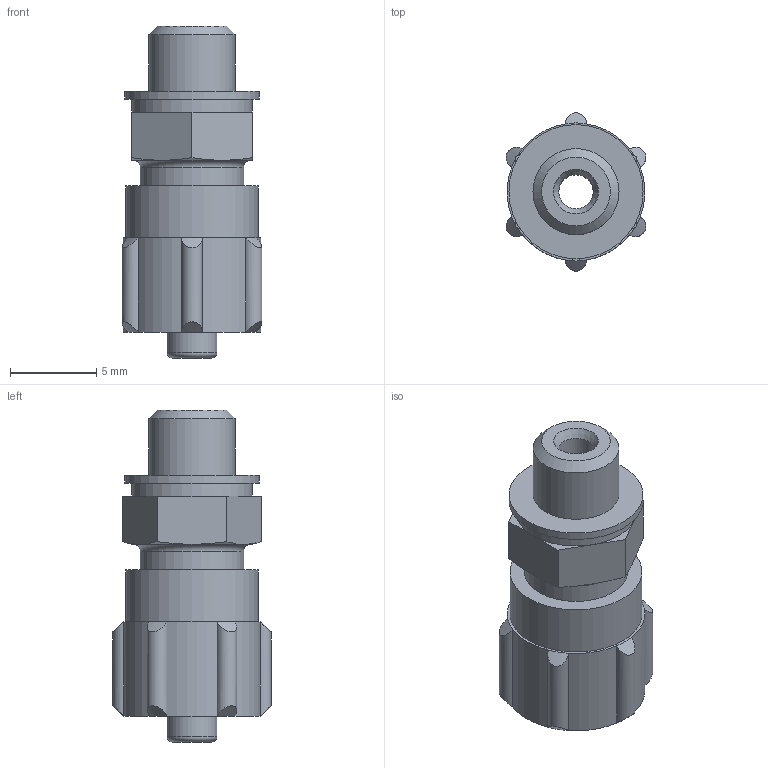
import cadquery as cq
import math

PIN_TIP_Z = 0.0
NUT_BOTTOM_Z = 1.5
NUT_TOP_Z = 7.0
SLEEVE_TOP_Z = 10.0
HEX_BOTTOM_Z = 11.5
HEX_TOP_Z = 14.3
FLANGE_BOTTOM_Z = 15.05
FLANGE_TOP_Z = 15.5
SPIGOT_TOP_Z = 19.3

PIN_DIAMETER = 2.9
NUT_DIAMETER = 8.0
SLEEVE_DIAMETER = 7.7
NECK_DIAMETER = 6.0
COLLAR_DIAMETER = 7.0
FLANGE_DIAMETER = 7.8
SPIGOT_DIAMETER = 5.0

BORE_DIAMETER = 2.0
BORE_MOUTH_DIAMETER = 2.6
BORE_MOUTH_HALF_ANGLE = 30.0
PIN_TIP_FILLET = 0.3
SPIGOT_CHAMFER = 0.5
NECK_FILLET = 0.4

HEX_SIDES = 6
HEX_ACROSS_FLATS = 7.0
HEX_CHAMFER_ANGLE = 15.0

RIB_COUNT = 6
RIB_RADIUS = 0.6


def cylinder(diameter, bottom_z, top_z):
    """Solid cylinder on the common axis between two heights."""
    return (
        cq.Workplane("XY")
        .workplane(offset=bottom_z)
        .circle(diameter / 2)
        .extrude(top_z - bottom_z)
    )


def cone(bottom_diameter, bottom_z, top_diameter, top_z):
    """Solid truncated cone on the common axis between two heights."""
    return cq.Workplane("XY").add(
        cq.Solid.makeCone(
            bottom_diameter / 2,
            top_diameter / 2,
            top_z - bottom_z,
            cq.Vector(0, 0, bottom_z),
        )
    )


def make_pin():
    """Pin below the nut with a rounded tip."""
    return cylinder(PIN_DIAMETER, PIN_TIP_Z, NUT_BOTTOM_Z).faces("<Z").edges().fillet(PIN_TIP_FILLET)


def make_nut():
    """Round nut with half-round ribs bevelled at 45 degrees down to the nut surface."""
    ribs = (
        cq.Workplane("XY")
        .workplane(offset=NUT_BOTTOM_Z)
        .polarArray(NUT_DIAMETER / 2, 90, 360, RIB_COUNT)
        .circle(RIB_RADIUS)
        .extrude(NUT_TOP_Z - NUT_BOTTOM_Z)
    )
    rib_tip_diameter = NUT_DIAMETER + 2 * RIB_RADIUS
    bevel_envelope = (
        cylinder(rib_tip_diameter, NUT_BOTTOM_Z, NUT_TOP_Z)
        .faces("<Z or >Z")
        .edges()
        .chamfer(RIB_RADIUS)
    )
    return cylinder(NUT_DIAMETER, NUT_BOTTOM_Z, NUT_TOP_Z).union(ribs.intersect(bevel_envelope))


def make_hexagon():
    """Hexagon with two corners on the Y axis and conically chamfered lower corners."""
    height = HEX_TOP_Z - HEX_BOTTOM_Z
    across_corners = HEX_ACROSS_FLATS / math.cos(math.pi / HEX_SIDES)
    blank = (
        cq.Workplane("XY")
        .workplane(offset=HEX_BOTTOM_Z)
        .polygon(HEX_SIDES, across_corners)
        .extrude(height)
        .rotate((0, 0, 0), (0, 0, 1), 180 / HEX_SIDES)
    )
    spread = 2 * height / math.tan(math.radians(HEX_CHAMFER_ANGLE))
    chamfer_cone = cone(HEX_ACROSS_FLATS, HEX_BOTTOM_Z, HEX_ACROSS_FLATS + spread, HEX_TOP_Z)
    return blank.intersect(chamfer_cone)


def make_neck():
    """Neck between sleeve and hexagon, flared by a concave fillet under the hexagon."""
    neck_radius = NECK_DIAMETER / 2
    return (
        cq.Workplane("XZ")
        .moveTo(0, SLEEVE_TOP_Z)
        .lineTo(neck_radius, SLEEVE_TOP_Z)
        .lineTo(neck_radius, HEX_BOTTOM_Z - NECK_FILLET)
        .radiusArc((neck_radius + NECK_FILLET, HEX_BOTTOM_Z), NECK_FILLET)
        .lineTo(0, HEX_BOTTOM_Z)
        .close()
        .revolve(360, (0, 0, 0), (0, 1, 0))
    )


def make_spigot():
    """Upper spigot with a chamfered end."""
    return cylinder(SPIGOT_DIAMETER, FLANGE_TOP_Z, SPIGOT_TOP_Z).faces(">Z").edges().chamfer(SPIGOT_CHAMFER)


def make_bore():
    """Through bore with a conical mouth in the spigot end."""
    mouth_widening = (BORE_MOUTH_DIAMETER - BORE_DIAMETER) / 2
    mouth_depth = mouth_widening / math.tan(math.radians(BORE_MOUTH_HALF_ANGLE))
    mouth = cone(BORE_DIAMETER, SPIGOT_TOP_Z - mouth_depth, BORE_MOUTH_DIAMETER, SPIGOT_TOP_Z)
    return cylinder(BORE_DIAMETER, PIN_TIP_Z, SPIGOT_TOP_Z).union(mouth)


body = (
    make_pin()
    .union(make_nut())
    .union(cylinder(SLEEVE_DIAMETER, NUT_TOP_Z, SLEEVE_TOP_Z))
    .union(make_neck())
    .union(make_hexagon())
    .union(cylinder(COLLAR_DIAMETER, HEX_TOP_Z, FLANGE_BOTTOM_Z))
    .union(cylinder(FLANGE_DIAMETER, FLANGE_BOTTOM_Z, FLANGE_TOP_Z))
    .union(make_spigot())
)

result = body.cut(make_bore())